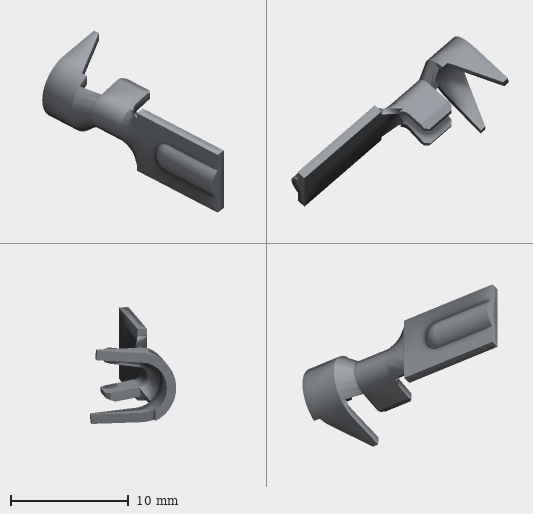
import cadquery as cq
import math

length = 18.8
sheet = 0.8
floor_y = 0.79

grip_length = 3.2
grip_radius = 3.1
grip_flare = 5
grip_height = 6.88
leg_tip_width = 0.5
upper_leg_root_y = 2.12
lower_leg_root_y = 1.79
leg_root_x = 2.63

wire_start = 4.72
wire_end = 7.9
wire_radius = 1.7
wire_flare = 9
wire_height = 5.23
bevel_start_y = 4.42
bevel_depth = 0.35
corner_chamfer = 0.4
web_length = 0.38
web_top_y = 3.06
web_bottom_y = 2.2
web_bulge = 0.3

front_neck_angle = 51
rear_neck_half_width = 2.46

tab_start = 9.83
tab_width = 6.2
rib_half_width = 1.4
rib_end_centre = 13.39


def polar(centre_y, radius, angle):
    """Point on an arc, with the angle in degrees measured from -Y toward +Z."""
    turn = math.radians(angle)
    return centre_y - radius * math.cos(turn), radius * math.sin(turn)


def channel(work, bottom_y, radius, half_angle):
    """Curved strip of sheet with radial ends."""
    centre_y = bottom_y + radius
    inner = radius - sheet
    return (
        work.moveTo(*polar(centre_y, radius, -half_angle))
        .threePointArc((bottom_y, 0), polar(centre_y, radius, half_angle))
        .lineTo(*polar(centre_y, inner, half_angle))
        .threePointArc((bottom_y + sheet, 0), polar(centre_y, inner, -half_angle))
        .close()
    )


def leg(start, size, bottom_y, radius, flare, top_y, bevel=None):
    """Leg on the +Z side, tangent to the channel; bevel is (start height, depth)."""
    centre_y = bottom_y + radius
    turn = math.radians(flare)
    root = polar(centre_y, radius, 90 - flare)
    inner_root = polar(centre_y, radius - sheet, 90 - flare)
    run = (top_y - inner_root[0]) / math.cos(turn)

    def along(distance, depth):
        """Point at a distance up the leg and a depth below its outer face."""
        return (
            root[0] + distance * math.cos(turn) + depth * math.sin(turn),
            root[1] + distance * math.sin(turn) - depth * math.cos(turn),
        )

    if bevel:
        bevel_y, depth = bevel
        outer = [along((bevel_y - root[0]) / math.cos(turn), 0), along(run, depth)]
    else:
        outer = [along(run, 0)]
    points = [root] + outer + [along(run, sheet), inner_root]
    return cq.Workplane("YZ", origin=(start, 0, 0)).polyline(points).close().extrude(size)


def insulation_half(root_y):
    """The +Z half of the insulation crimp, with its leg pointed toward X = 0."""
    curved = channel(cq.Workplane("YZ"), 0, grip_radius, 90 - grip_flare).extrude(grip_length)
    blade = leg(0, grip_length, 0, grip_radius, grip_flare, grip_height)
    outline = (
        cq.Workplane("XY")
        .polyline([
            (0, 0), (grip_length, 0), (grip_length, root_y), (leg_root_x, root_y),
            (leg_tip_width, grip_height), (0, grip_height),
        ])
        .close()
        .extrude(2 * grip_radius)
    )
    return curved.union(blade).intersect(outline)


def insulation_crimp():
    mid = grip_length / 2
    lower = insulation_half(lower_leg_root_y).rotate((mid, 0, 0), (mid, 1, 0), 180)
    return insulation_half(upper_leg_root_y).union(lower)


def wire_crimp():
    size = wire_end - wire_start
    work = cq.Workplane("YZ", origin=(wire_start, 0, 0))
    crimp = channel(work, floor_y, wire_radius, 90 - wire_flare).extrude(size)
    shape = (floor_y, wire_radius, wire_flare, wire_height)
    blade = leg(wire_start, size, *shape, bevel=(bevel_start_y, bevel_depth))
    outline = (
        cq.Workplane("XY")
        .center((wire_start + wire_end) / 2, wire_height / 2)
        .rect(size, wire_height)
        .extrude(2 * wire_radius)
        .edges("|Z and >Y")
        .chamfer(corner_chamfer)
    )
    blade = blade.intersect(outline)

    web_end = wire_end + web_length
    bulge_share = (1 + web_bulge) / 2
    bulge_point = (
        web_end - web_length * bulge_share,
        web_top_y - (web_top_y - web_bottom_y) * bulge_share,
    )
    web_outline = (
        cq.Workplane("XY")
        .moveTo(wire_end, web_top_y)
        .threePointArc(bulge_point, (web_end, web_bottom_y))
        .lineTo(wire_end, web_bottom_y)
        .close()
        .extrude(2 * wire_radius)
    )
    web = leg(wire_end, web_length, *shape).intersect(web_outline)
    blade = blade.union(web)
    return crimp.union(blade).union(blade.mirror("XY"))


def front_neck():
    work = channel(cq.Workplane("YZ", origin=(grip_length, 0, 0)), 0, grip_radius, front_neck_angle)
    work = work.workplane(offset=wire_start - grip_length)
    return channel(work, floor_y, wire_radius, 90 - wire_flare).loft(ruled=True)


def rear_neck():
    work = channel(
        cq.Workplane("YZ", origin=(wire_end, 0, 0)), floor_y, wire_radius, 90 - wire_flare
    )
    top_y = floor_y + sheet
    return (
        work.workplane(offset=tab_start - wire_end)
        .moveTo(floor_y, -rear_neck_half_width)
        .lineTo(floor_y, rear_neck_half_width)
        .lineTo(top_y, rear_neck_half_width)
        .lineTo(top_y, -rear_neck_half_width)
        .close()
        .loft(ruled=True)
    )


def tab():
    tab_length = length - tab_start
    plate = cq.Workplane("XY").box(tab_length, sheet, tab_width, centered=(False, False, True))
    plate = plate.translate((tab_start, floor_y, 0))

    rib_radius = (rib_half_width**2 + floor_y**2) / (2 * floor_y)
    rib = (
        cq.Workplane("YZ", origin=(rib_end_centre, rib_radius, 0))
        .circle(rib_radius)
        .extrude(length - rib_end_centre)
        .union(cq.Workplane("XY").sphere(rib_radius).translate((rib_end_centre, rib_radius, 0)))
    )
    below_tab = cq.Workplane("XY").box(length, floor_y, tab_width, centered=(False, False, True))
    return plate.union(rib.intersect(below_tab))


result = insulation_crimp().union(front_neck()).union(wire_crimp()).union(rear_neck()).union(tab())